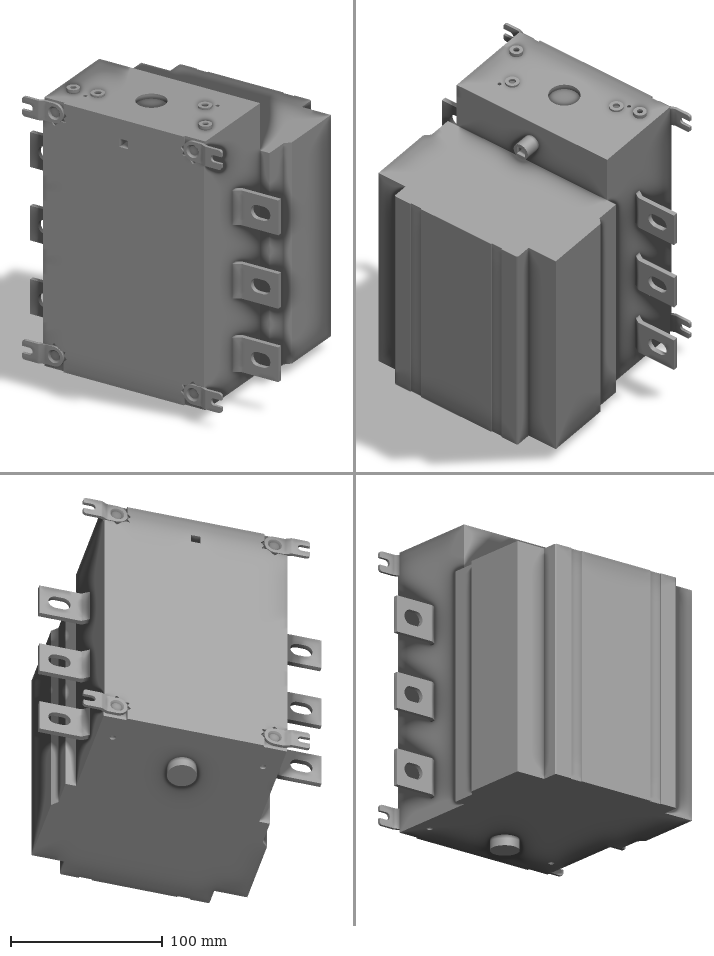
import cadquery as cq
import math


body_width = 125.4
body_depth = 69.5
body_height = 197.5

cover_depth = 82.2
cover_height = 162.5
cover_half_width = 74.0
cover_neck_half_width = 70.0
cover_neck_depth = 17.6
cover_crown_half_width = 51.3
cover_crown_depth = 12.0
cover_crown_chamfer = 0.8
cover_notch_width = 8.7
cover_notch_depth = 0.8
cover_notch_offset = 33.6
cover_back = body_depth + cover_depth

overall_width = 193.3
terminal_reach = overall_width / 2
terminal_width = 25.5
terminal_thickness = 3.3
terminal_inner_y = 34.7
terminal_outer_y = 38.0
terminal_bend_inner = 62.7
terminal_bend_outer = 67.9
terminal_bend_radius = 3.0
terminal_slot_length = 15.2
terminal_slot_width = 10.4
terminal_slot_offset = 82.8
terminal_first_height = 27.0
terminal_pitch = 54.0

foot_reach = 77.6
foot_width = 14.3
foot_thickness = 2.0
foot_inner_y = -0.6
foot_outer_y = -2.5
foot_bend_inner = 60.8
foot_bend_outer = 65.0
foot_bend_radius = 3.0
foot_prong_radius = 2.0
foot_slot_width = 5.2
foot_slot_end = 69.3
foot_screw_offset = 54.0
foot_top_inset = 8.7
foot_bottom_inset = 10.0
countersink_diameter = 9.5
countersink_floor_diameter = 6.9
countersink_depth = 1.5

recess_depth = foot_inner_y + foot_thickness
recess_inner_edge = 47.0
recess_diamond_radius = 9.5
recess_triangle_radius = 10.2

sleeve_diameter = 11.8
sleeve_length = 12.0
sleeve_height = 180.0
passage_width = 6.6
passage_height = 6.0

spigot_y = 34.5
spigot_diameter = 19.7
spigot_length = 7.5
socket_diameter = 21.4
socket_depth = 3.7

bolt_x = 51.5
bolt_y = 19.5
bolt_hole_diameter = 4.2
bolt_collar_diameter = 9.0
overall_height = 207.5
bolt_collar_height = overall_height - body_height - spigot_length

low_collar_offset = (34.9, 11.0)
low_collar_diameter = 9.5
low_collar_height = 1.5
low_collar_bore = 4.8
low_collar_bore_depth = 1.7
pin_hole_offset = (41.0, 17.0)
pin_hole_diameter = 2.7
pin_hole_depth = 1.7


def cylinder_up(x, y, z, diameter, height):
    """Vertical cylinder standing on height z."""
    return cq.Workplane("XY", origin=(x, y, z)).circle(diameter / 2).extrude(height)


def box_between(x_range, y_range, z_range):
    """Box spanning the given coordinate ranges."""
    sizes = [high - low for low, high in (x_range, y_range, z_range)]
    corner = (x_range[0], y_range[0], z_range[0])
    return cq.Workplane("XY", origin=corner).box(*sizes, centered=False)


def front_plane(x, y, z):
    """Sketch plane facing -Y: local x is X, local y is Z, extrusion runs towards -Y."""
    return cq.Workplane("XZ", origin=(x, y, z))


def joggled_bar(x_start, x_end, bend_inner, bend_outer, y_inner, y_outer, thickness, radius, width):
    """Bar along +X, centred on Z = 0, whose front face steps from y_inner to y_outer."""
    slope = math.atan2(y_outer - y_inner, bend_outer - bend_inner)
    back_shift = thickness * math.tan(slope / 2)
    outline = [
        (x_start, y_inner),
        (bend_inner, y_inner),
        (bend_outer, y_outer),
        (x_end, y_outer),
        (x_end, y_outer + thickness),
        (bend_outer - back_shift, y_outer + thickness),
        (bend_inner - back_shift, y_inner + thickness),
        (x_start, y_inner + thickness),
    ]
    bar = cq.Workplane("XY", origin=(0, 0, -width / 2)).polyline(outline).close().extrude(width)
    return bar.edges("|Z and (not >X) and (not <X)").fillet(radius)


def make_cover():
    """Cover with a wide middle, a tapered neck at the body and a narrower notched crown."""
    neck_taper = cover_half_width - cover_neck_half_width
    neck_end = body_depth + cover_neck_depth
    shoulder = cover_back - cover_crown_depth
    right_side = [
        (cover_neck_half_width, body_depth),
        (cover_neck_half_width, neck_end),
        (cover_half_width, neck_end + neck_taper),
        (cover_half_width, shoulder),
        (cover_crown_half_width, shoulder),
        (cover_crown_half_width, cover_back - cover_crown_chamfer),
        (cover_crown_half_width - cover_crown_chamfer, cover_back),
    ]
    left_side = [(-x, y) for x, y in reversed(right_side)]
    cover = cq.Workplane("XY").polyline(right_side + left_side).close().extrude(cover_height)
    for side in (-1, 1):
        notch = (
            cq.Workplane("XY")
            .center(side * cover_notch_offset, cover_back)
            .rect(cover_notch_width, 2 * cover_notch_depth)
            .extrude(cover_height)
        )
        cover = cover.cut(notch)
    return cover


def make_terminal():
    """Right-hand terminal centred on Z = 0, rooted inside the body."""
    bar = joggled_bar(
        body_width / 2 - 4 * terminal_thickness, terminal_reach,
        terminal_bend_inner, terminal_bend_outer,
        terminal_inner_y, terminal_outer_y,
        terminal_thickness, terminal_bend_radius, terminal_width,
    )
    slot = (
        front_plane(terminal_slot_offset, body_depth, 0)
        .slot2D(terminal_slot_length, terminal_slot_width)
        .extrude(body_depth)
    )
    return bar.cut(slot)


def make_foot():
    """Right-hand foot centred on Z = 0, with a round inner end and an open slot outside."""
    bar = joggled_bar(
        foot_screw_offset - foot_width / 2, foot_reach,
        foot_bend_inner, foot_bend_outer,
        foot_inner_y, foot_outer_y,
        foot_thickness, foot_bend_radius, foot_width,
    )
    cut_length = 4 * foot_thickness
    outline = (
        front_plane(0, cut_length / 2, 0)
        .moveTo(foot_screw_offset, foot_width / 2)
        .lineTo(foot_reach, foot_width / 2)
        .lineTo(foot_reach, -foot_width / 2)
        .lineTo(foot_screw_offset, -foot_width / 2)
        .threePointArc(
            (foot_screw_offset - foot_width / 2, 0),
            (foot_screw_offset, foot_width / 2),
        )
        .close()
        .extrude(cut_length)
        .edges("|Y and >X")
        .fillet(foot_prong_radius)
    )
    slot = (
        front_plane(foot_reach, cut_length / 2, 0)
        .slot2D(2 * (foot_reach - foot_slot_end), foot_slot_width)
        .extrude(cut_length)
    )
    countersink = (
        front_plane(foot_screw_offset, foot_inner_y + countersink_depth, 0)
        .circle(countersink_floor_diameter / 2)
        .workplane(offset=countersink_depth)
        .circle(countersink_diameter / 2)
        .loft()
    )
    return bar.intersect(outline).cut(slot).cut(countersink)


def make_recess(edge_distance):
    """Recess for a right-hand foot centred on Z = 0, open to a body edge that far above it."""
    corner = box_between(
        (recess_inner_edge, body_width / 2),
        (0, recess_depth),
        (0, edge_distance),
    )
    foot_seat = box_between(
        (foot_screw_offset, body_width / 2),
        (0, recess_depth),
        (-foot_width / 2, 0),
    )
    star_centre = front_plane(foot_screw_offset, recess_depth, 0)
    diamond = star_centre.polygon(4, 2 * recess_diamond_radius).extrude(recess_depth)
    triangle_points = [
        (recess_triangle_radius * math.cos(angle), recess_triangle_radius * math.sin(angle))
        for angle in (math.radians(degrees) for degrees in (90, 210, 330))
    ]
    triangle = star_centre.polyline(triangle_points).close().extrude(recess_depth)
    return corner.union(foot_seat).union(diamond).union(triangle)


result = box_between(
    (-body_width / 2, body_width / 2), (0, body_depth), (0, body_height)
).union(make_cover())

terminal = make_terminal()
for row in range(3):
    right_terminal = terminal.translate((0, 0, terminal_first_height + row * terminal_pitch))
    result = result.union(right_terminal).union(right_terminal.mirror("YZ"))

foot = make_foot()
upper_recess = make_recess(foot_top_inset)
lower_recess = make_recess(foot_bottom_inset).mirror("XY")
foot_places = ((body_height - foot_top_inset, upper_recess), (foot_bottom_inset, lower_recess))
for height, recess in foot_places:
    right_recess = recess.translate((0, 0, height))
    right_foot = foot.translate((0, 0, height))
    result = result.cut(right_recess).cut(right_recess.mirror("YZ"))
    result = result.union(right_foot).union(right_foot.mirror("YZ"))

result = result.union(
    front_plane(0, body_depth, sleeve_height).circle(sleeve_diameter / 2).extrude(-sleeve_length)
)
result = result.cut(
    front_plane(0, 0, sleeve_height)
    .rect(passage_width, passage_height)
    .extrude(-(body_depth + sleeve_length))
)

result = result.union(cylinder_up(0, spigot_y, -spigot_length, spigot_diameter, spigot_length))
result = result.cut(
    cylinder_up(0, spigot_y, body_height - socket_depth, socket_diameter, socket_depth)
)

for side in (-1, 1):
    collar = cylinder_up(side * bolt_x, bolt_y, body_height, bolt_collar_diameter, bolt_collar_height)
    bolt_hole = cylinder_up(
        side * bolt_x, bolt_y, 0, bolt_hole_diameter, body_height + bolt_collar_height
    )
    result = result.union(collar).cut(bolt_hole)

for side in (-1, 1):
    collar_x = side * low_collar_offset[0]
    collar_y = spigot_y + side * low_collar_offset[1]
    collar = cylinder_up(collar_x, collar_y, body_height, low_collar_diameter, low_collar_height)
    bore_floor = body_height + low_collar_height - low_collar_bore_depth
    bore = cylinder_up(collar_x, collar_y, bore_floor, low_collar_bore, low_collar_bore_depth)
    pin_hole = cylinder_up(
        side * pin_hole_offset[0], spigot_y + side * pin_hole_offset[1],
        body_height - pin_hole_depth, pin_hole_diameter, pin_hole_depth,
    )
    result = result.union(collar).cut(bore).cut(pin_hole)